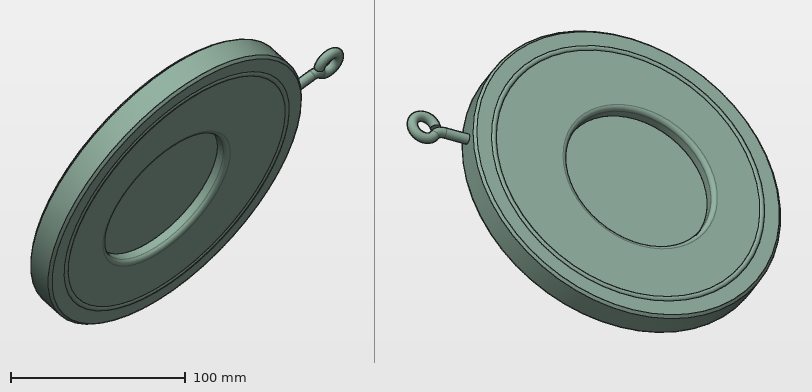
import cadquery as cq
import math

DISC_DIAMETER = 194.5
DISC_RADIUS = DISC_DIAMETER / 2
DISC_THICKNESS = 18.1
RIM_CHAMFER = 1.6

OVERALL_THICKNESS = 19.8
BEAD_DIAMETER = 3.7
BEAD_CIRCLE_RADIUS = 84.9

RECESS_DIAMETER = 92.0
RECESS_OFFSET_Y = -7.7
RECESS_DEPTH = 8.0
RECESS_LIP_RADIUS = 2.8

OVERALL_LENGTH = 232.5
ROD_DIAMETER = 6.0
EYE_RADIUS = 7.5
BEND_START_ANGLE = -30
EYE_END_ANGLE = 15
SHANK_INSERTION = 9.3

EYE_CENTER_Y = OVERALL_LENGTH - DISC_RADIUS - EYE_RADIUS - ROD_DIAMETER / 2
SHANK_TIP_Y = DISC_RADIUS - SHANK_INSERTION


def x_disc(radius, start_x, thickness, center_y=0):
    """Solid cylinder along +X that starts at start_x."""
    return (
        cq.Workplane("YZ", origin=(start_x, center_y, 0))
        .circle(radius)
        .extrude(thickness)
    )


def make_bead(side):
    """Full torus whose crest reaches the overall thickness on one side."""
    bead_x = side * (OVERALL_THICKNESS - BEAD_DIAMETER) / 2
    return cq.Workplane(
        cq.Solid.makeTorus(
            BEAD_CIRCLE_RADIUS, BEAD_DIAMETER / 2, cq.Vector(bead_x, 0, 0), cq.Vector(1, 0, 0)
        )
    )


def make_recess_cutter(side):
    """Revolved recess with a rounded lip flaring out to the flat face."""
    face_x = side * DISC_THICKNESS / 2
    floor_x = face_x - side * RECESS_DEPTH
    lip_x = face_x - side * RECESS_LIP_RADIUS
    wall_y = RECESS_DIAMETER / 2
    mouth_y = wall_y + RECESS_LIP_RADIUS
    lip_sag = RECESS_LIP_RADIUS * math.sqrt(0.5)
    lip_middle = (lip_x + side * lip_sag, mouth_y - lip_sag)
    return (
        cq.Workplane("XY")
        .moveTo(floor_x, 0)
        .lineTo(floor_x, wall_y)
        .lineTo(lip_x, wall_y)
        .threePointArc(lip_middle, (face_x, mouth_y))
        .lineTo(face_x, 0)
        .close()
        .revolve(360, (0, 0, 0), (1, 0, 0))
        .translate((0, RECESS_OFFSET_Y, 0))
    )


def make_shank(end_y):
    """Straight rod along Y from the tip inside the wheel to end_y."""
    return (
        cq.Workplane("XZ", origin=(0, SHANK_TIP_Y, 0))
        .circle(ROD_DIAMETER / 2)
        .extrude(SHANK_TIP_Y - end_y)
    )


def make_wheel():
    wheel = x_disc(DISC_RADIUS, -DISC_THICKNESS / 2, DISC_THICKNESS).edges().chamfer(RIM_CHAMFER)
    for side in (-1, 1):
        wheel = wheel.union(make_bead(side)).cut(make_recess_cutter(side))
    return wheel.cut(make_shank(OVERALL_LENGTH))


def eye_point(angle):
    """Point (Y, Z) on the ring centreline; the angle is measured from -Y towards +Z."""
    turn = math.radians(angle)
    return (EYE_CENTER_Y - EYE_RADIUS * math.cos(turn), EYE_RADIUS * math.sin(turn))


def sweep_rod(start, middle, end, start_direction):
    """Rod swept along the arc through three (Y, Z) points."""
    path = cq.Workplane("YZ").moveTo(*start).threePointArc(middle, end)
    section = cq.Plane(origin=(0, *start), xDir=(1, 0, 0), normal=(0, *start_direction))
    return cq.Workplane(section).circle(ROD_DIAMETER / 2).sweep(path)


def make_eye_bolt():
    ring_end_angle = 360 + BEND_START_ANGLE
    end_turn = math.radians(EYE_END_ANGLE)
    ring = sweep_rod(
        eye_point(EYE_END_ANGLE),
        eye_point((EYE_END_ANGLE + ring_end_angle) / 2),
        eye_point(ring_end_angle),
        (math.sin(end_turn), math.cos(end_turn)),
    )

    bend_start_turn = math.radians(-BEND_START_ANGLE)
    bend_end_y = EYE_CENTER_Y - 2 * EYE_RADIUS * math.cos(bend_start_turn)
    half_bend = (math.pi / 2 - bend_start_turn) / 2
    bend_middle = (
        bend_end_y + EYE_RADIUS * math.sin(half_bend),
        -EYE_RADIUS * (1 - math.cos(half_bend)),
    )
    bend = sweep_rod((bend_end_y, 0), bend_middle, eye_point(BEND_START_ANGLE), (1, 0))

    return make_shank(bend_end_y).union(bend).union(ring)


wheel = make_wheel()
eye_bolt = make_eye_bolt()

result = cq.Compound.makeCompound([wheel.val(), eye_bolt.val()])